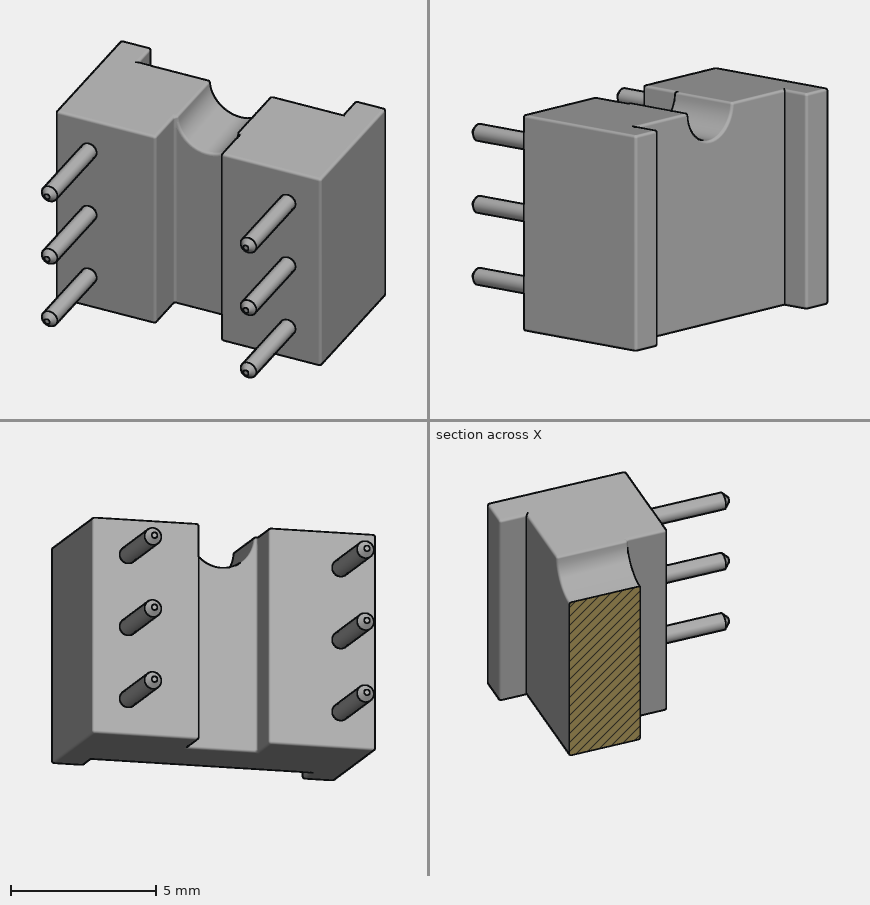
import cadquery as cq

width = 10.16
height = 7.62
depth = 5.16
edge_radius = 0.1

slot_width = 2.5
slot_depth = 1.5

flange_width = 1.17
recess_depth = 1.0
recess_floor = depth - recess_depth
recess_width = width - 2 * flange_width

saddle_radius = slot_width / 2 - edge_radius

pin_diameter = 0.6
pin_length = 3.3
pin_tip_chamfer = 0.2
pin_pitch = 2.54
pins_per_column = 3
column_spacing = 7.62


def full_height_box(x_size, y_size, y_start):
    """Box centered in X and Z that starts at y_start and runs toward +Y."""
    return (
        cq.Workplane("XY")
        .box(x_size, y_size, height, centered=(True, False, True))
        .translate((0, y_start, 0))
    )


def inner_corners(block, x_size, y):
    """Upright inner-corner edges where walls x_size apart meet the floor at y."""
    around_corners = cq.selectors.BoxSelector(
        (-x_size / 2 - edge_radius / 2, y - edge_radius / 2, -height / 2),
        (x_size / 2 + edge_radius / 2, y + edge_radius / 2, height / 2),
    )
    return block.edges("|Z").edges(around_corners)


def cut_block():
    """Sharp-edged block with the slot, the recess and the saddle cut out."""
    saddle = (
        cq.Workplane("XZ", origin=(0, 0, height / 2))
        .circle(saddle_radius)
        .extrude(-depth)
    )
    return (
        full_height_box(width, depth, 0)
        .cut(full_height_box(slot_width, slot_depth, 0))
        .cut(full_height_box(recess_width, recess_depth, recess_floor))
        .cut(saddle)
    )


def round_edges(block):
    """Round the outer edges, then the slot's inner corners; the recess corners stay sharp."""
    slot_corners = inner_corners(block, slot_width, slot_depth).vals()
    recess_corners = inner_corners(block, recess_width, recess_floor).vals()
    outer_edges = [
        edge for edge in block.edges().vals() if edge not in slot_corners + recess_corners
    ]
    rounded = block.newObject(outer_edges).fillet(edge_radius)
    return inner_corners(rounded, slot_width, slot_depth).fillet(edge_radius)


def make_pin(x, z):
    """Pin along -Y with a chamfered tip."""
    return (
        cq.Workplane("XZ", origin=(x, 0, z))
        .circle(pin_diameter / 2)
        .extrude(pin_length)
        .faces("<Y")
        .chamfer(pin_tip_chamfer)
    )


result = round_edges(cut_block())
for x in (-column_spacing / 2, column_spacing / 2):
    for row in range(pins_per_column):
        z = (row - (pins_per_column - 1) / 2) * pin_pitch
        result = result.union(make_pin(x, z))